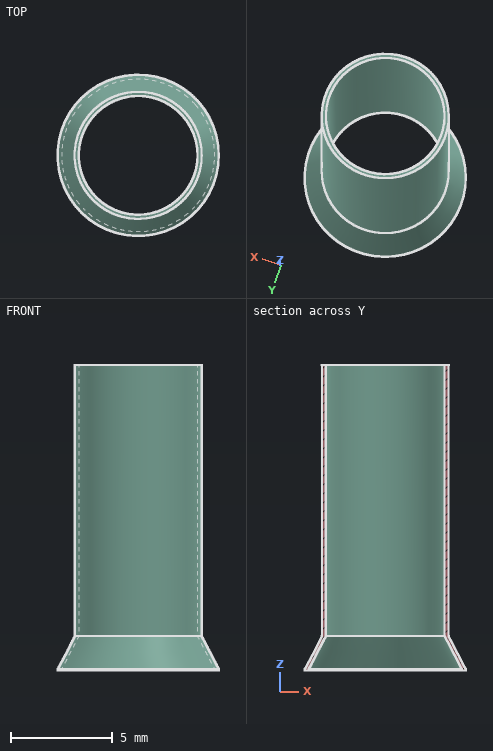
import cadquery as cq

total_height = 15.0
tube_radius = 3.12
wall = 0.21
flare_radius = 3.96
flare_height = 1.7
rim_height = 0.08

bore_radius = tube_radius - wall
flare_mouth_radius = flare_radius - wall

result = (
    cq.Workplane("XZ")
    .moveTo(flare_mouth_radius, 0)
    .lineTo(flare_radius, 0)
    .lineTo(flare_radius, rim_height)
    .lineTo(tube_radius, flare_height)
    .lineTo(tube_radius, total_height)
    .lineTo(bore_radius, total_height)
    .lineTo(bore_radius, flare_height)
    .lineTo(flare_mouth_radius, rim_height)
    .close()
    .revolve(360, (0, 0, 0), (0, 1, 0))
)